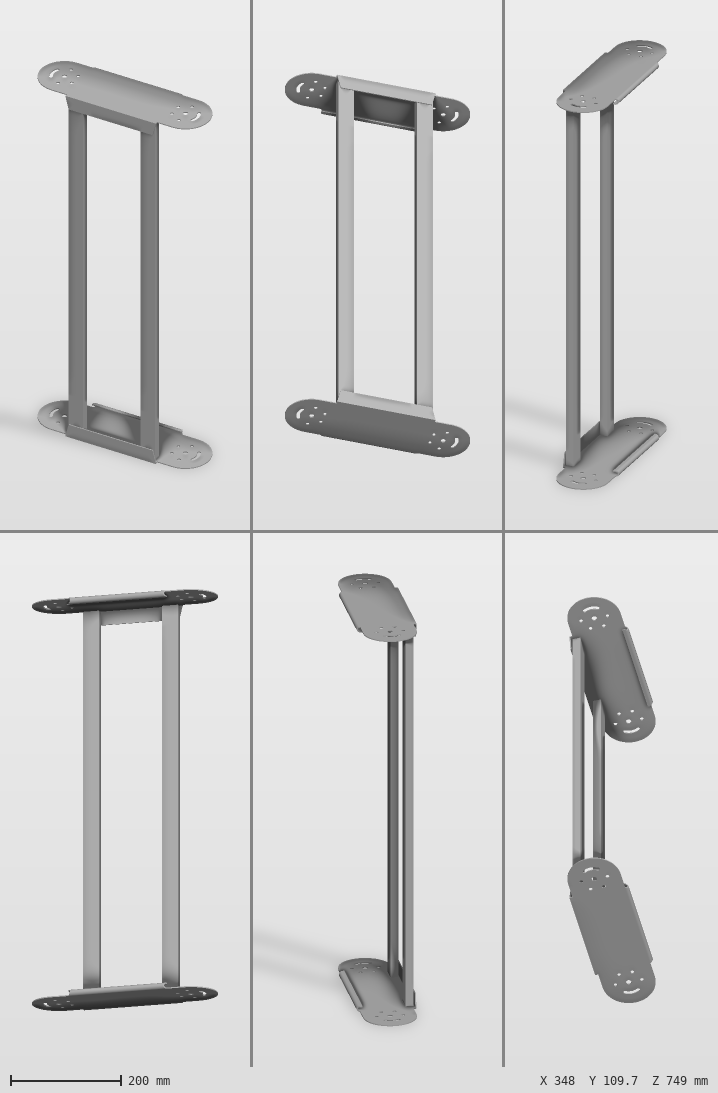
import cadquery as cq
import math

frame_height = 749.0
sheet = 2.0

end_spacing = 250.0
plate_length = 348.0
plate_width = plate_length - end_spacing
plate_rear = plate_width / 2
edge_reach = 5.85

flange_front = -(plate_rear + edge_reach)
flange_height = 28.0
flange_root_width = 187.0
flange_tip_width = 174.0

hook_rear = plate_rear + edge_reach
hook_height = 11.0
hook_return = 10.5
hook_root_width = 185.0
hook_tip_width = 176.0

pattern_radius = 25.0
pattern_step = 60
center_hole = 10.0
small_hole = 7.0
slot_width = 7.0

bar_width = 30.0
bar_depth = 15.0
bar_span = 180.0
bar_gap = 2.6
bar_front = flange_front + sheet + bar_gap
bar_height = frame_height - 2 * (sheet + bar_gap)


def plate_blank():
    return cq.Workplane("XY").slot2D(plate_length, plate_width).extrude(-sheet)


def front_flange():
    """Strip that widens the plate at the front, and the tapered flange hanging from it."""
    strip = (
        cq.Workplane("XY")
        .rect(flange_root_width, -flange_front)
        .extrude(-sheet)
        .translate((0, flange_front / 2, 0))
    )
    flange = (
        cq.Workplane("XZ", origin=(0, flange_front + sheet, 0))
        .moveTo(-flange_root_width / 2, 0)
        .lineTo(flange_root_width / 2, 0)
        .lineTo(flange_tip_width / 2, -flange_height)
        .lineTo(-flange_tip_width / 2, -flange_height)
        .close()
        .extrude(sheet)
    )
    return strip.union(flange)


def rear_hook():
    """Strip along the rear edge curled half round, narrowing from the plate edge to the curl."""
    outer_radius = hook_height / 2
    curl_start = hook_rear - outer_radius
    return_end = hook_rear - hook_return
    strip = (
        cq.Workplane("YZ")
        .moveTo(0, 0)
        .lineTo(curl_start, 0)
        .threePointArc((hook_rear, -outer_radius), (curl_start, -hook_height))
        .lineTo(return_end, -hook_height)
        .lineTo(return_end, sheet - hook_height)
        .lineTo(curl_start, sheet - hook_height)
        .threePointArc((hook_rear - sheet, -outer_radius), (curl_start, -sheet))
        .lineTo(0, -sheet)
        .close()
        .extrude(hook_root_width / 2, both=True)
    )
    side_trim = (
        cq.Workplane("XY")
        .moveTo(hook_root_width / 2, plate_rear)
        .lineTo(hook_tip_width / 2, hook_rear)
        .lineTo(hook_root_width / 2, hook_rear)
        .close()
        .extrude(-hook_height)
    )
    return strip.cut(side_trim).cut(side_trim.mirror("YZ"))


def arc_slot():
    """Slot that follows the hole circle over one pattern step, centred on +X."""
    half_angle = math.radians(pattern_step / 2)
    inner = pattern_radius - slot_width / 2
    outer = pattern_radius + slot_width / 2

    def at(radius, angle):
        return radius * math.cos(angle), radius * math.sin(angle)

    past_end = half_angle + slot_width / 2 / pattern_radius
    return (
        cq.Workplane("XY")
        .moveTo(*at(inner, -half_angle))
        .threePointArc(at(inner, 0), at(inner, half_angle))
        .threePointArc(at(pattern_radius, past_end), at(outer, half_angle))
        .threePointArc(at(outer, 0), at(outer, -half_angle))
        .threePointArc(at(pattern_radius, -past_end), at(inner, -half_angle))
        .close()
        .extrude(-sheet)
    )


def end_cutouts():
    """Holes and slot of the +X end: the slot takes the two outermost places of the circle."""
    free_places = 360 // pattern_step - 2
    angles = [math.radians(pattern_step * (i + 1.5)) for i in range(free_places)]
    points = [(pattern_radius * math.cos(a), pattern_radius * math.sin(a)) for a in angles]
    small = cq.Workplane("XY").pushPoints(points).circle(small_hole / 2).extrude(-sheet)
    center = cq.Workplane("XY").circle(center_hole / 2).extrude(-sheet)
    return small.union(center).union(arc_slot()).translate((end_spacing / 2, 0, 0))


def end_plate():
    """Upper end plate, its top face at half the frame height."""
    cutouts = end_cutouts()
    plate = plate_blank().union(front_flange()).union(rear_hook())
    plate = plate.cut(cutouts).cut(cutouts.mirror("YZ"))
    return plate.translate((0, 0, frame_height / 2))


def upright_bar(side):
    x = side * (bar_span - bar_width) / 2
    y = bar_front + bar_depth / 2
    return cq.Workplane("XY").box(bar_width, bar_depth, bar_height).translate((x, y, 0))


top_plate = end_plate()
bottom_plate = top_plate.mirror("XY")
bars = [upright_bar(side) for side in (-1, 1)]

result = cq.Compound.makeCompound([top_plate.val(), bottom_plate.val(), *[bar.val() for bar in bars]])